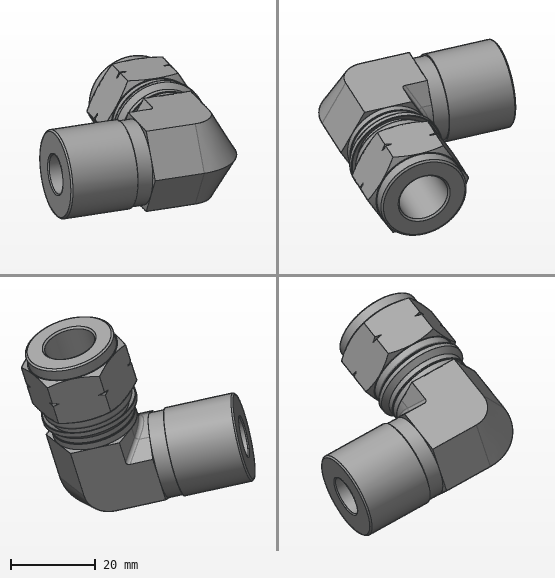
import cadquery as cq
import math

BODY_FLATS = 20.6
TUBE_ARM_LENGTH = 12.5
MALE_ARM_LENGTH = 12.35
INNER_FILLET = 1.0
BORE_DIA = 9.5

MALE_END = 33.0
MALE_DIA = 21.3
MALE_NECK_DIA = 20.5
MALE_NECK_END = 16.2
MALE_CHAMFER = 0.4
BORE_MOUTH_CHAMFER = 0.3

NUT_FACE = 36.26
NUT_FLATS = 22.0
NUT_COLLAR_DIA = 21.5
NUT_HEX_START = 2.95
NUT_HEX_END = 15.3
NUT_END = 17.3
NUT_FACE_CHAMFER_AXIAL = 0.36
NUT_FACE_CHAMFER_RADIAL = 0.5
NUT_BACK_CHAMFER_AXIAL = 0.26
NUT_BACK_CHAMFER_RADIAL = 0.05
HEX_CHAMFER_ANGLE = 30.0

NICK_POSITION = 9.0
NICK_HALF_WIDTH = 0.35
NICK_ROOT_DIA = 24.0

GAP_DIA = 19.05
FLANGE_DIA = 23.0
FLANGE_START = 18.0
FLANGE_END = 19.15
FLANGE_LIP_WIDTH = 0.25
FLANGE_DISH_END = 19.4
SHOULDER_DIA = 20.5
SHOULDER_START = 20.5
SHOULDER_GROOVE_DIA = 20.3
SHOULDER_GROOVE_START = 21.83
SHOULDER_GROOVE_END = 22.19

SOCKET_DIA = 12.2
SOCKET_DEPTH = 22.8
SOCKET_MOUTH_DIA = 13.1
SOCKET_MOUTH_DEPTH = 0.45

HALF_SECTOR = math.radians(30)
BODY_RADIUS = BODY_FLATS / 2
BODY_CORNER = BODY_RADIUS / math.cos(HALF_SECTOR)
NUT_CORNER_RADIUS = NUT_FLATS / 2 / math.cos(HALF_SECTOR)

TUBE_PLANE = cq.Plane(origin=(-NUT_FACE, 0, 0), xDir=(0, 1, 0), normal=(1, 0, 0))


def turned_about_x(points):
    """Revolve a profile of (distance from nut face, radius) points about the X axis."""
    profile = [(distance - NUT_FACE, radius) for distance, radius in points]
    return cq.Workplane("XY").polyline(profile).close().revolve(360, (0, 0, 0), (1, 0, 0))


def turned_about_y(points):
    """Revolve a profile of (radius, Y) points about the Y axis."""
    return cq.Workplane("XY").polyline(points).close().revolve(360, (0, 0, 0), (0, 1, 0))


def make_arm(plane, outer_side, length):
    """Hexagonal arm from the origin, with the corner inside the bend rounded to the inscribed circle."""
    half_side = BODY_CORNER / 2
    tangent_across = -outer_side * BODY_RADIUS * math.cos(HALF_SECTOR)
    tangent_height = BODY_RADIUS * math.sin(HALF_SECTOR)
    return (
        cq.Workplane(plane)
        .moveTo(outer_side * BODY_CORNER, 0)
        .lineTo(outer_side * half_side, BODY_RADIUS)
        .lineTo(-outer_side * half_side, BODY_RADIUS)
        .lineTo(tangent_across, tangent_height)
        .threePointArc((-outer_side * BODY_RADIUS, 0), (tangent_across, -tangent_height))
        .lineTo(-outer_side * half_side, -BODY_RADIUS)
        .lineTo(outer_side * half_side, -BODY_RADIUS)
        .close()
        .extrude(length)
    )


def make_bend():
    """Quarter turn of the outer half of the hexagon about Z, joining the two arms."""
    return (
        cq.Workplane("XZ")
        .moveTo(0, -BODY_RADIUS)
        .lineTo(BODY_CORNER / 2, -BODY_RADIUS)
        .lineTo(BODY_CORNER, 0)
        .lineTo(BODY_CORNER / 2, BODY_RADIUS)
        .lineTo(0, BODY_RADIUS)
        .close()
        .revolve(90, (0, 0, 0), (0, 1, 0))
    )


def is_inner_seam(edge):
    """True for the edges in the mitre plane X = Y on the inside of the bend."""
    tolerance = 1e-3
    ends = [edge.startPoint(), edge.endPoint()]
    on_mitre = all(abs(point.x - point.y) < tolerance for point in ends)
    return on_mitre and all(point.x < -tolerance for point in ends)


def make_elbow():
    tube_arm_plane = cq.Plane(origin=(0, 0, 0), xDir=(0, -1, 0), normal=(-1, 0, 0))
    tube_arm = make_arm(tube_arm_plane, -1, TUBE_ARM_LENGTH)
    male_arm = make_arm("XZ", 1, MALE_ARM_LENGTH)
    elbow = tube_arm.union(male_arm).union(make_bend()).clean()
    seams = [edge for edge in elbow.edges().vals() if is_inner_seam(edge)]
    return elbow.newObject(seams).fillet(INNER_FILLET)


def make_male_end():
    neck = cq.Workplane("XZ").circle(MALE_NECK_DIA / 2).extrude(MALE_NECK_END)
    radius = MALE_DIA / 2
    barrel = turned_about_y([
        (0, -MALE_NECK_END),
        (radius, -MALE_NECK_END),
        (radius, -MALE_END + MALE_CHAMFER),
        (radius - MALE_CHAMFER, -MALE_END),
        (0, -MALE_END),
    ])
    return neck.union(barrel)


def make_nut_collars():
    radius = NUT_COLLAR_DIA / 2
    return turned_about_x([
        (0, 0),
        (0, radius - NUT_FACE_CHAMFER_RADIAL),
        (NUT_FACE_CHAMFER_AXIAL, radius),
        (NUT_END - NUT_BACK_CHAMFER_AXIAL, radius),
        (NUT_END, radius - NUT_BACK_CHAMFER_RADIAL),
        (NUT_END, 0),
    ])


def make_nut_hex():
    """Hexagon with corners towards +Y and -Y, trimmed by end chamfers and the corner groove."""
    hexagon = (
        cq.Workplane(TUBE_PLANE)
        .workplane(offset=NUT_HEX_START)
        .polygon(6, 2 * NUT_CORNER_RADIUS)
        .extrude(NUT_HEX_END - NUT_HEX_START)
    )
    flat_radius = NUT_FLATS / 2
    chamfer = (NUT_CORNER_RADIUS - flat_radius) * math.tan(math.radians(HEX_CHAMFER_ANGLE))
    envelope = turned_about_x([
        (NUT_HEX_START, 0),
        (NUT_HEX_START, flat_radius),
        (NUT_HEX_START + chamfer, NUT_CORNER_RADIUS),
        (NICK_POSITION - NICK_HALF_WIDTH, NUT_CORNER_RADIUS),
        (NICK_POSITION, NICK_ROOT_DIA / 2),
        (NICK_POSITION + NICK_HALF_WIDTH, NUT_CORNER_RADIUS),
        (NUT_HEX_END - chamfer, NUT_CORNER_RADIUS),
        (NUT_HEX_END, flat_radius),
        (NUT_HEX_END, 0),
    ])
    return hexagon.intersect(envelope)


def make_tube_shoulder():
    """Gap, dished flange with a cone behind it, and grooved shoulder next to the elbow body."""
    gap_radius = GAP_DIA / 2
    flange_radius = FLANGE_DIA / 2
    shoulder_radius = SHOULDER_DIA / 2
    groove_radius = SHOULDER_GROOVE_DIA / 2
    body_face = NUT_FACE - TUBE_ARM_LENGTH
    return turned_about_x([
        (NUT_END, 0),
        (NUT_END, gap_radius),
        (FLANGE_DISH_END, gap_radius),
        (FLANGE_START, flange_radius - FLANGE_LIP_WIDTH),
        (FLANGE_START, flange_radius),
        (FLANGE_END, flange_radius),
        (SHOULDER_START, shoulder_radius),
        (SHOULDER_GROOVE_START, shoulder_radius),
        (SHOULDER_GROOVE_START, groove_radius),
        (SHOULDER_GROOVE_END, groove_radius),
        (SHOULDER_GROOVE_END, shoulder_radius),
        (body_face, shoulder_radius),
        (body_face, 0),
    ])


def make_bore():
    """Two equal bores joined by a ball, with a tube socket at one end and a chamfer at the other."""
    bore_radius = BORE_DIA / 2
    tube_side = turned_about_x([
        (0, 0),
        (0, SOCKET_MOUTH_DIA / 2),
        (SOCKET_MOUTH_DEPTH, SOCKET_DIA / 2),
        (SOCKET_DEPTH, SOCKET_DIA / 2),
        (SOCKET_DEPTH, bore_radius),
        (NUT_FACE, bore_radius),
        (NUT_FACE, 0),
    ])
    male_side = turned_about_y([
        (0, 0),
        (bore_radius, 0),
        (bore_radius, -MALE_END + BORE_MOUTH_CHAMFER),
        (bore_radius + BORE_MOUTH_CHAMFER, -MALE_END),
        (0, -MALE_END),
    ])
    return tube_side.union(male_side).union(cq.Workplane("XY").sphere(bore_radius))


result = (
    make_elbow()
    .union(make_male_end())
    .union(make_tube_shoulder())
    .union(make_nut_collars())
    .union(make_nut_hex())
    .cut(make_bore())
)